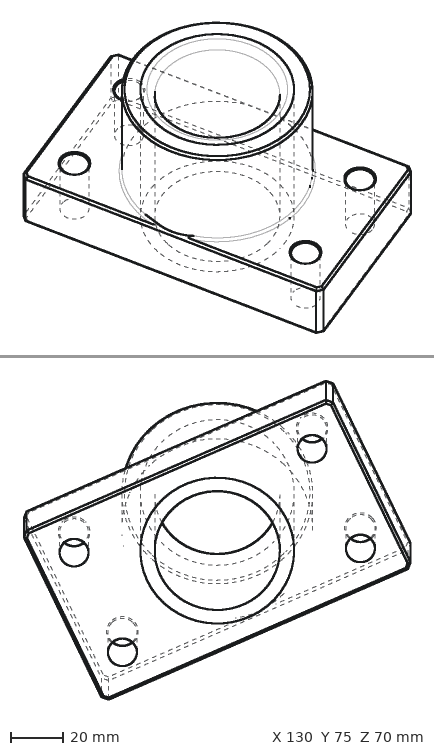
import cadquery as cq
import math

plate_length = 130.0
plate_width = 75.0
plate_thickness = 25.0
corner_chamfer = 2.1
edge_break = 1.0

total_height = 70.0
boss_radius = plate_width / 2 - edge_break
root_fillet = edge_break

bushing_radius = 29.4
bore_radius = 23.9
mouth_fillet = 3.0

hole_spacing_x = 100.1
hole_spacing_y = 44.2
hole_diameter = 11.0
hole_chamfer = 0.5


def make_plate():
    """Rectangular flange with bevelled corners and edges."""
    return (
        cq.Workplane("XY")
        .box(plate_length, plate_width, plate_thickness, centered=(True, True, False))
        .edges("|Z")
        .chamfer(corner_chamfer)
        .faces("<Z or >Z")
        .chamfer(edge_break)
    )


def make_boss():
    """Round boss with a bevelled top rim, reaching down to the plate underside."""
    return (
        cq.Workplane("XY")
        .circle(boss_radius)
        .extrude(total_height)
        .faces(">Z")
        .edges()
        .chamfer(edge_break)
    )


def make_root_fillet():
    """Concave ring at the foot of the boss, trimmed along the slope of the long plate bevels."""
    root_radius = boss_radius + root_fillet
    fillet_top = plate_thickness + root_fillet
    arc_offset = root_fillet * (1 - math.sqrt(0.5))
    ring = (
        cq.Workplane("XZ")
        .moveTo(bushing_radius, plate_thickness)
        .lineTo(root_radius, plate_thickness)
        .threePointArc(
            (boss_radius + arc_offset, plate_thickness + arc_offset),
            (boss_radius, fillet_top),
        )
        .lineTo(bushing_radius, fillet_top)
        .close()
        .revolve(360, (0, 0, 0), (0, 1, 0))
    )
    half_top_width = plate_width / 2 - edge_break
    half_trim_width = half_top_width - root_fillet
    trim = (
        cq.Workplane("YZ")
        .polyline([
            (-half_top_width, plate_thickness),
            (half_top_width, plate_thickness),
            (half_trim_width, fillet_top),
            (-half_trim_width, fillet_top),
        ])
        .close()
        .extrude(root_radius, both=True)
    )
    return ring.intersect(trim)


def make_mounting_holes():
    """Cutters for four through holes with a small bevel at the top."""
    hole_radius = hole_diameter / 2
    rim_radius = hole_radius + hole_chamfer
    cutter = (
        cq.Workplane("XZ")
        .polyline([
            (0, 0),
            (hole_radius, 0),
            (hole_radius, plate_thickness - hole_chamfer),
            (rim_radius, plate_thickness),
            (0, plate_thickness),
        ])
        .close()
        .revolve(360, (0, 0, 0), (0, 1, 0))
        .val()
    )
    return (
        cq.Workplane("XY")
        .rarray(hole_spacing_x, hole_spacing_y, 2, 2)
        .eachpoint(lambda place: cutter.moved(place))
    )


def make_housing():
    """Flange and boss with a straight seat for the bushing."""
    seat = cq.Workplane("XY").circle(bushing_radius).extrude(total_height)
    blank = make_plate().union(make_boss()).union(make_root_fillet())
    return blank.cut(make_mounting_holes()).cut(seat)


def make_bushing():
    """Plain sleeve, flush at both ends, with a rounded mouth at the top."""
    return (
        cq.Workplane("XY")
        .circle(bushing_radius)
        .circle(bore_radius)
        .extrude(total_height)
        .faces(">Z")
        .edges(cq.selectors.RadiusNthSelector(0))
        .fillet(mouth_fillet)
    )


housing = make_housing()
bushing = make_bushing()

result = cq.Compound.makeCompound([housing.solids().val(), bushing.val()])